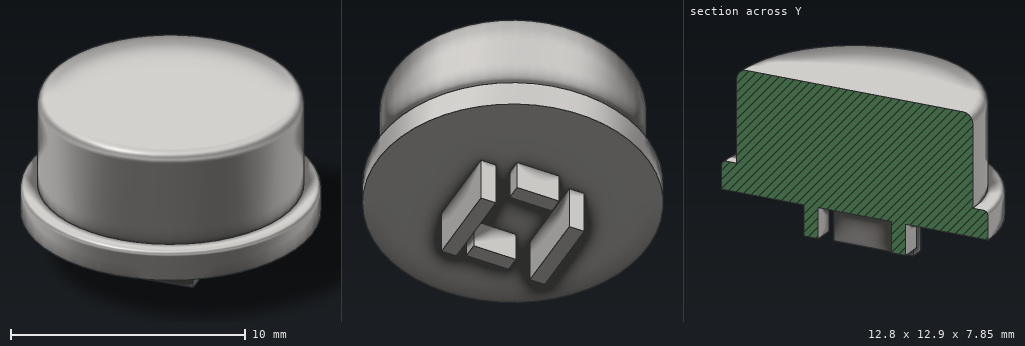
import cadquery as cq

flange_diameter = 12.85
flange_height = 1.35
flange_round = 0.25
cap_diameter = 11.4
cap_height = 4.34
cap_round = 0.5

leg_outer_reach = 2.45
leg_thickness = 0.71
long_leg_width = 3.83
long_leg_length = 2.16
short_leg_width = 2.0
short_leg_length = 1.43


def rounded_disc(diameter, height, base_z, top_round):
    """Upright disc with its top rim rounded."""
    disc = cq.Workplane("XY").workplane(offset=base_z).circle(diameter / 2).extrude(height)
    return disc.faces(">Z").edges().fillet(top_round)


def leg_pair(width, length, turn):
    """Two opposite legs facing +Y and -Y, turned about Z by the given angle."""
    leg_offset = leg_outer_reach - leg_thickness / 2
    return (
        cq.Workplane("XY")
        .pushPoints([(0, leg_offset), (0, -leg_offset)])
        .rect(width, leg_thickness)
        .extrude(-length)
        .rotate((0, 0, 0), (0, 0, 1), turn)
    )


flange = rounded_disc(flange_diameter, flange_height, 0, flange_round)
cap = rounded_disc(cap_diameter, cap_height, flange_height, cap_round)
long_legs = leg_pair(long_leg_width, long_leg_length, 0)
short_legs = leg_pair(short_leg_width, short_leg_length, 90)

result = flange.union(cap).union(long_legs).union(short_legs)